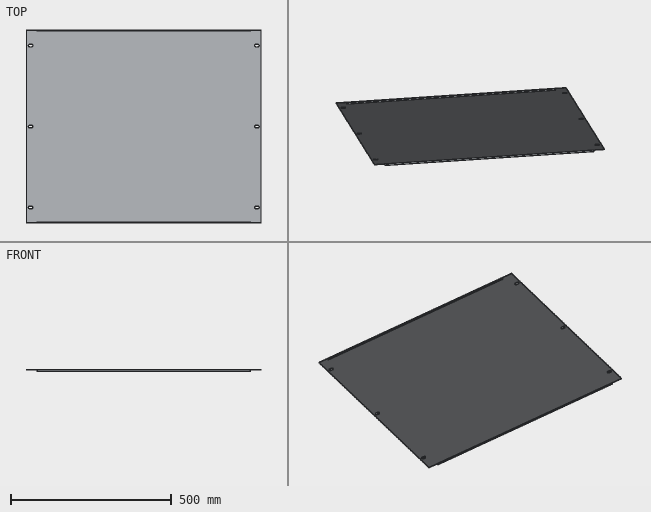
import cadquery as cq

length = 730.0
width = 599.0
height = 6.5
thickness = 2.0

lip_end_inset = 33.5
lip_length = length - 2 * lip_end_inset

slot_length = 14.0
slot_width = 7.0
slot_edge_distance = 13.0
slot_pitch = 252.0
slots_per_side = 3


def make_panel():
    """Flat sheet with its top face at Z = height."""
    return (
        cq.Workplane("XY")
        .workplane(offset=height - thickness)
        .rect(length, width)
        .extrude(thickness)
    )


def make_lip(side):
    """Folded lip flush with the long edge on the given Y side (-1 or 1)."""
    center_y = side * (width - thickness) / 2
    return (
        cq.Workplane("XY")
        .center(0, center_y)
        .rect(lip_length, thickness)
        .extrude(height)
    )


def make_slots():
    """Cutters for the rounded slots, running in X through the sheet."""
    column_spacing = length - 2 * slot_edge_distance
    return (
        cq.Workplane("XY")
        .rarray(column_spacing, slot_pitch, 2, slots_per_side)
        .slot2D(slot_length, slot_width)
        .extrude(height)
    )


result = make_panel()
for side in (-1, 1):
    result = result.union(make_lip(side))
result = result.cut(make_slots())